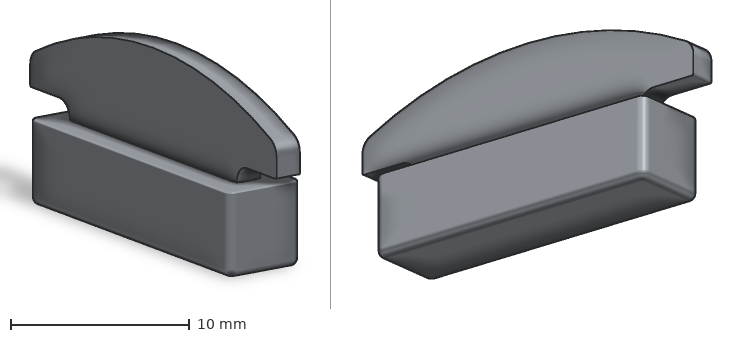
import cadquery as cq
import math

block_length = 19.5
block_width = 4.9
block_height = 5.0
block_edge_radius = 0.5
block_bottom_radius = 0.48
block_top_radius = 0.15

blade_length = 24.0
blade_thickness = 1.6
blade_top = 11.0
overhang_bottom = 6.05
arch_radius = 25.2
wing_tip_radius = 1.05
wing_heel_radius = 0.15
neck_length = 16.27
neck_fillet_radius = 1.0

slot_depth = 2.0
slot_corner_radius = 0.4
slot_rim_radius = 0.1
slot_bottom = block_height - slot_depth


def arch_height(x):
    """Height of the arched blade top at distance x from the middle."""
    return blade_top - arch_radius + math.sqrt(arch_radius**2 - x**2)


def nearest_to(x, z):
    """Selector for the edge across the blade that lies closest to (x, z)."""
    return cq.selectors.NearestToPointSelector((x, 0, z))


def make_foot():
    """Part of the blade below the block's top face, which is also the shape of the slot."""
    return (
        cq.Workplane("XY")
        .workplane(offset=slot_bottom)
        .rect(neck_length, blade_thickness)
        .extrude(slot_depth)
        .edges("|Z").fillet(slot_corner_radius)
    )


def make_blade():
    half_length = blade_length / 2
    half_neck = neck_length / 2
    tip_height = arch_height(half_length)
    blade = (
        cq.Workplane("XZ")
        .moveTo(-half_neck, block_height)
        .lineTo(half_neck, block_height)
        .lineTo(half_neck, overhang_bottom)
        .lineTo(half_length, overhang_bottom)
        .lineTo(half_length, tip_height)
        .threePointArc((0, blade_top), (-half_length, tip_height))
        .lineTo(-half_length, overhang_bottom)
        .lineTo(-half_neck, overhang_bottom)
        .close()
        .extrude(blade_thickness / 2, both=True)
    )
    for side in (-1, 1):
        tip = nearest_to(side * half_length, tip_height)
        heel = nearest_to(side * half_length, overhang_bottom)
        neck_corner = nearest_to(side * half_neck, overhang_bottom)
        blade = blade.edges("|Y").edges(tip).fillet(wing_tip_radius)
        blade = blade.edges("|Y").edges(heel).fillet(wing_heel_radius)
        blade = blade.edges("|Y").edges(neck_corner).fillet(neck_fillet_radius)
    return blade.union(make_foot())


def make_block():
    block = (
        cq.Workplane("XY")
        .box(block_length, block_width, block_height, centered=(True, True, False))
        .edges("|Z").fillet(block_edge_radius)
        .faces("<Z").edges().fillet(block_bottom_radius)
        .faces(">Z").edges().fillet(block_top_radius)
        .cut(make_foot())
    )
    slot_mouth = block.faces(">Z").val().innerWires()[0]
    return block.newObject(slot_mouth.Edges()).fillet(slot_rim_radius)


blade = make_blade()
block = make_block()

result = cq.Compound.makeCompound([block.val(), blade.val()])